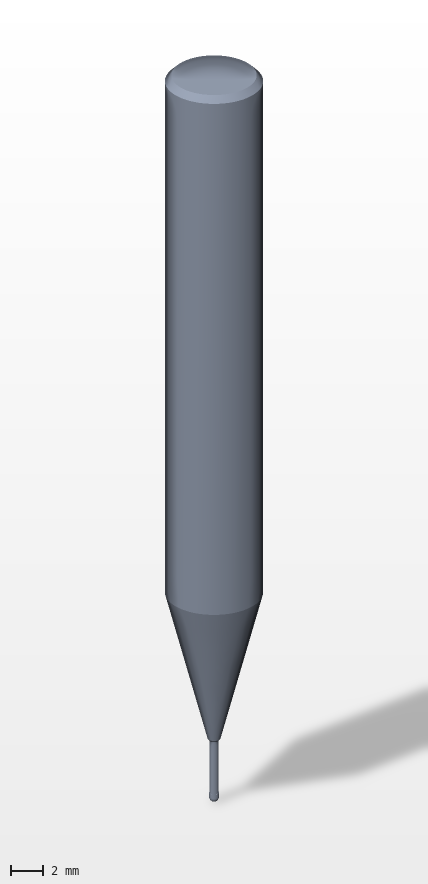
import cadquery as cq

total_length = 50.0
shank_radius = 3.0
shank_chamfer = 0.4

tip_radius = 0.3
tip_length = 0.6

neck_radius = 0.28
neck_top = 4.2

shoulder_radius = 0.4
shoulder_chamfer_height = 0.15
taper_bottom = neck_top + shoulder_chamfer_height
taper_top = 14.4


def make_holder():
    """Neck, tapered shoulder and chamfered shank, revolved about Z."""
    return (
        cq.Workplane("XZ")
        .moveTo(0, tip_length)
        .lineTo(neck_radius, tip_length)
        .lineTo(neck_radius, neck_top)
        .lineTo(shoulder_radius, taper_bottom)
        .lineTo(shank_radius, taper_top)
        .lineTo(shank_radius, total_length - shank_chamfer)
        .lineTo(shank_radius - shank_chamfer, total_length)
        .lineTo(0, total_length)
        .close()
        .revolve(360, (0, 0, 0), (0, 1, 0))
    )


def make_cutting_tip():
    """Short cylinder ending in a hemisphere, revolved about Z."""
    return (
        cq.Workplane("XZ")
        .moveTo(0, 0)
        .radiusArc((tip_radius, tip_radius), -tip_radius)
        .lineTo(tip_radius, tip_length)
        .lineTo(0, tip_length)
        .close()
        .revolve(360, (0, 0, 0), (0, 1, 0))
    )


holder = make_holder()
cutting_tip = make_cutting_tip()

result = cq.Compound.makeCompound([holder.val(), cutting_tip.val()])